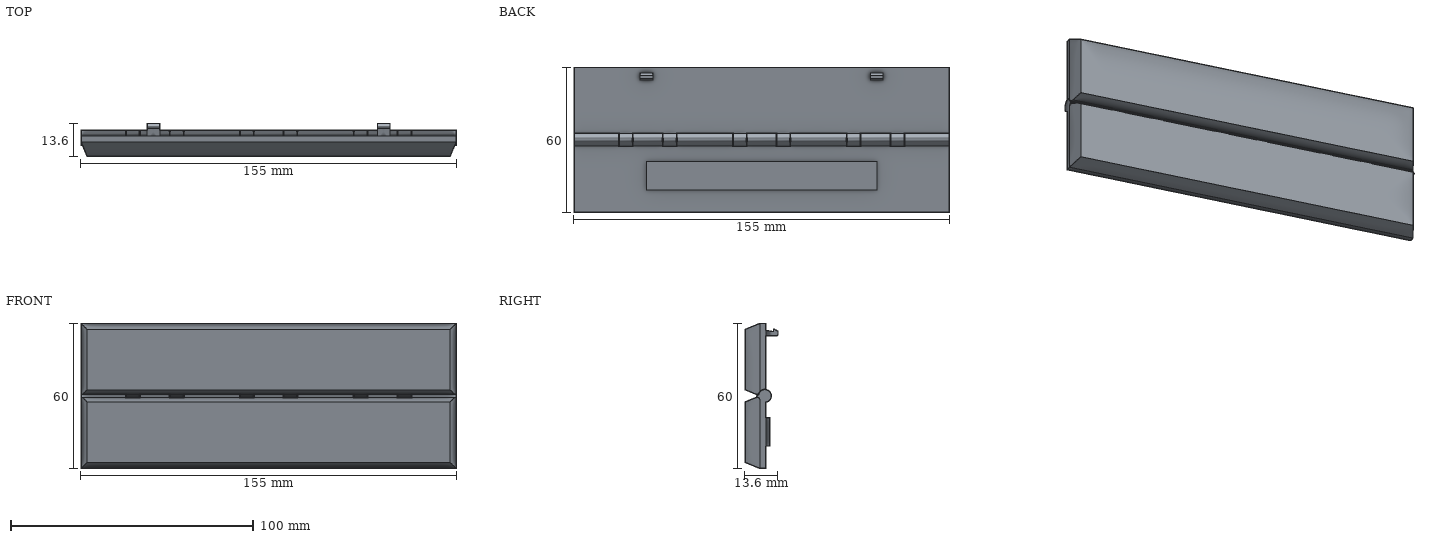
import cadquery as cq
import math


length = 155.0
total_height = 60.0
plate_height = total_height / 2
plate_depth = 8.5
rim_depth = 2.5
bevel_depth = plate_depth - rim_depth
bevel_inset = 2.5

hinge_radius = 2.6
hinge_back = 10.8
hinge_y = hinge_back - hinge_radius
running_gap = 0.2
end_gap = 0.3
web_half_height = 0.6
web_front_y = 5.1
slot_width = 6.0
slot_offsets = (9.0, 38.0, 56.1)
slot_centers = sorted(side * offset for side in (-1, 1) for offset in slot_offsets)

clip_spacing = 95.2
clip_width = 5.3
clip_bottom = 24.8
clip_root_top = 27.1
clip_notch_z = 26.7
clip_hook_z = 27.6
clip_notch_y = 11.2
clip_hook_y = 11.6
clip_hook_flat = 0.5
clip_tip_y = 13.6
clip_tip_chamfer = 0.5

pad_length = clip_spacing
pad_top = -9.0
pad_height = 11.8
pad_rise = 1.7


def bevelled_plate(z_bottom):
    """Plate with a straight rim at the back and four bevelled sides at the front."""
    outline = (
        cq.Workplane("XZ", origin=(0, plate_depth, z_bottom + plate_height / 2))
        .rect(length, plate_height)
    )
    rim = outline.extrude(rim_depth)
    bevel = (
        rim.faces("<Y").workplane()
        .rect(length, plate_height)
        .workplane(offset=bevel_depth)
        .rect(length - 2 * bevel_inset, plate_height - 2 * bevel_inset)
        .loft(ruled=True, combine=False)
    )
    return rim.union(bevel)


def hinge_cylinder(radius, x_start, x_end):
    """Cylinder on the hinge axis between two X positions."""
    return (
        cq.Workplane("YZ", origin=(x_start, hinge_y, 0))
        .circle(radius)
        .extrude(x_end - x_start)
    )


def knuckle(x_start, x_end, side):
    """Hinge barrel with a concave web that runs into the bevel of its plate.

    side is 1 for the upper plate and -1 for the lower plate.
    """
    barrel_front_y = hinge_y - math.sqrt(hinge_radius**2 - web_half_height**2)
    bevel_front_y = bevel_depth - web_half_height * bevel_depth / bevel_inset
    web = (
        cq.Workplane("YZ", origin=(x_start, 0, 0))
        .moveTo(hinge_y, -side * web_half_height)
        .lineTo(barrel_front_y, -side * web_half_height)
        .threePointArc((web_front_y, 0), (bevel_front_y, side * web_half_height))
        .lineTo(hinge_y, side * web_half_height)
        .close()
        .extrude(x_end - x_start)
    )
    return hinge_cylinder(hinge_radius, x_start, x_end).union(web)


def knuckle_slot(x_start, x_end):
    """Space that a mating knuckle and its web need, open to the front."""
    slot_height = 2 * (web_half_height + running_gap)
    web_space = (
        cq.Workplane("YZ", origin=(x_start, hinge_y / 2, 0))
        .rect(hinge_y, slot_height)
        .extrude(x_end - x_start)
    )
    return hinge_cylinder(hinge_radius + running_gap, x_start, x_end).union(web_space)


def add_knuckles(plate, own_spans, mating_spans, side):
    """Cut the slots for the mating knuckles, then add the plate's own knuckles."""
    for start, end in mating_spans:
        plate = plate.cut(knuckle_slot(start - end_gap, end + end_gap))
    for start, end in own_spans:
        plate = plate.union(knuckle(start, end, side))
    return plate


def snap_clip(x_center):
    """Tongue with an upward hook near its tip."""
    return (
        cq.Workplane("YZ", origin=(x_center - clip_width / 2, 0, 0))
        .moveTo(plate_depth, clip_bottom)
        .lineTo(clip_tip_y - clip_tip_chamfer, clip_bottom)
        .lineTo(clip_tip_y, clip_bottom + clip_tip_chamfer)
        .lineTo(clip_tip_y, clip_notch_z)
        .lineTo(clip_hook_y + clip_hook_flat, clip_hook_z)
        .lineTo(clip_hook_y, clip_hook_z)
        .lineTo(clip_hook_y, clip_notch_z)
        .lineTo(clip_notch_y, clip_notch_z)
        .lineTo(plate_depth, clip_root_top)
        .close()
        .extrude(clip_width)
    )


def back_pad():
    """Rectangular pad that stands on the back face of the lower plate."""
    return (
        cq.Workplane("XZ", origin=(0, plate_depth, pad_top - pad_height / 2))
        .rect(pad_length, pad_height)
        .extrude(-pad_rise)
    )


slot_edges = [(x - slot_width / 2, x + slot_width / 2) for x in slot_centers]
upper_spans = [(left + end_gap, right - end_gap) for left, right in slot_edges]
lower_starts = [-length / 2] + [right for _, right in slot_edges]
lower_ends = [left for left, _ in slot_edges] + [length / 2]
lower_spans = list(zip(lower_starts, lower_ends))

upper_cover = add_knuckles(bevelled_plate(0), upper_spans, lower_spans, 1)
for clip_x in (-clip_spacing / 2, clip_spacing / 2):
    upper_cover = upper_cover.union(snap_clip(clip_x))

lower_cover = add_knuckles(bevelled_plate(-plate_height), lower_spans, upper_spans, -1)
lower_cover = lower_cover.union(back_pad())

result = cq.Compound.makeCompound([*upper_cover.solids().vals(), *lower_cover.solids().vals()])